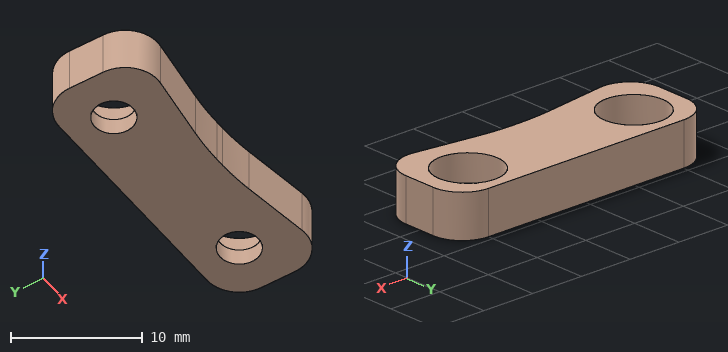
import cadquery as cq
import math

length = 26.0
width = 9.05
height = 4.0
corner_radius = 3.0

flat_half_length = 0.36
waist_radius = 23.4
slope_angle = math.radians(8.0)

hole_spacing = 17.0
hole_back_distance = 4.0
hole_diameter = 3.5
counterbore_diameter = 6.0
counterbore_depth = 2.5

half_length = length / 2
back_y = width / 2
corner_x = half_length - corner_radius
corner_y = back_y - corner_radius


def point_on_arc(center, radius, angle):
    """Point at an angle measured from +X toward +Y."""
    return (center[0] + radius * math.cos(angle), center[1] + radius * math.sin(angle))


def mirrored(point):
    return (-point[0], point[1])


def plate():
    down = -math.pi / 2
    front_center = (corner_x, -corner_y)
    back_center = (corner_x, corner_y)

    slope_end = point_on_arc(front_center, corner_radius, down - slope_angle)
    front_mid = point_on_arc(front_center, corner_radius, (down - slope_angle) / 2)
    back_mid = point_on_arc(back_center, corner_radius, math.pi / 4)
    slope_start_x = flat_half_length + waist_radius * math.sin(slope_angle)
    slope_start_y = slope_end[1] + (slope_end[0] - slope_start_x) * math.tan(slope_angle)
    slope_start = (slope_start_x, slope_start_y)
    waist_y = slope_start_y + waist_radius * (1 - math.cos(slope_angle))
    waist_center = (flat_half_length, waist_y - waist_radius)
    waist_mid = point_on_arc(waist_center, waist_radius, math.pi / 2 - slope_angle / 2)
    flat_end = (flat_half_length, waist_y)
    side_front = (half_length, -corner_y)
    side_back = (half_length, corner_y)
    back_end = (corner_x, back_y)

    return (
        cq.Workplane("XY")
        .moveTo(*mirrored(flat_end))
        .lineTo(*flat_end)
        .threePointArc(waist_mid, slope_start)
        .lineTo(*slope_end)
        .threePointArc(front_mid, side_front)
        .lineTo(*side_back)
        .threePointArc(back_mid, back_end)
        .lineTo(*mirrored(back_end))
        .threePointArc(mirrored(back_mid), mirrored(side_back))
        .lineTo(*mirrored(side_front))
        .threePointArc(mirrored(front_mid), mirrored(slope_end))
        .lineTo(*mirrored(slope_start))
        .threePointArc(mirrored(waist_mid), mirrored(flat_end))
        .close()
        .extrude(height)
    )


def add_screw_holes(body):
    hole_x = hole_spacing / 2
    hole_y = back_y - hole_back_distance
    return (
        body.faces(">Z")
        .workplane(origin=(0, 0, height))
        .pushPoints([(-hole_x, hole_y), (hole_x, hole_y)])
        .cboreHole(hole_diameter, counterbore_diameter, counterbore_depth)
    )


result = add_screw_holes(plate())